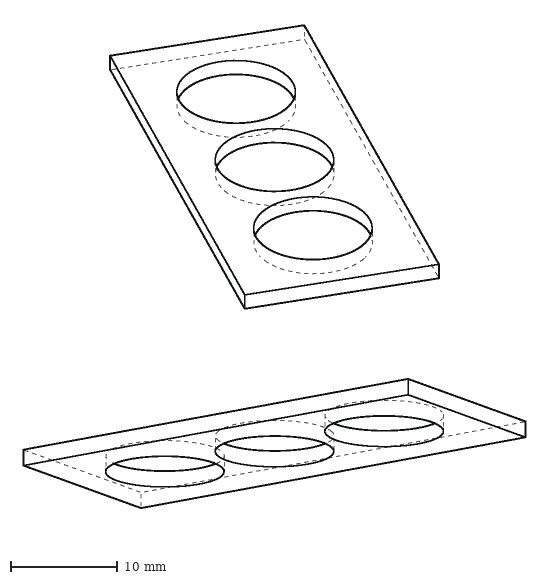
import cadquery as cq

length = 44.45
width = 19.05
thickness = 1.55

hole_diameter = 11.15
hole_spacing = 12.65
hole_count = 3

plate = cq.Workplane("XY").box(length, width, thickness)

result = (
    plate.faces(">Z")
    .workplane()
    .rarray(hole_spacing, width, hole_count, 1)
    .hole(hole_diameter)
)